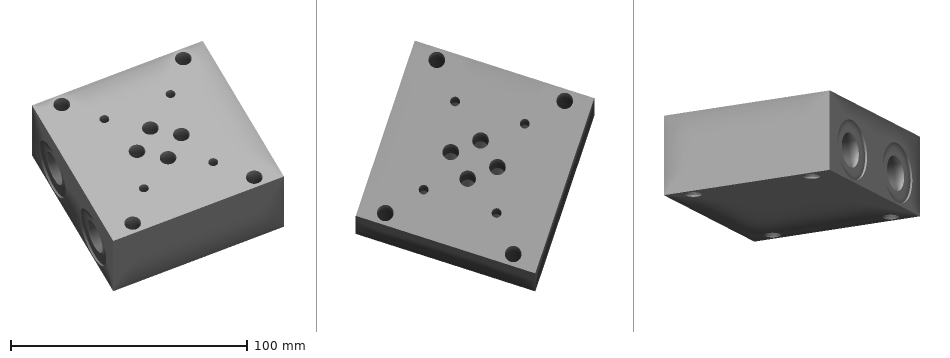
import cadquery as cq
import math

LENGTH = 80.0
WIDTH = 80.0
HEIGHT = 35.0

DRILL_POINT_ANGLE = 118.0

MOUNT_DIAMETER = 7.0
MOUNT_X = 35.0
MOUNT_Y = 28.5

BOLT_DIAMETER = 4.2
BOLT_DEPTH = 11.2
BOLT_X = 20.2
BOLT_LEFT_Y = 15.5
BOLT_RIGHT_Y = 16.2

VALVE_PORT_DIAMETER = 7.0
VALVE_PORT_DEPTH = 17.6
LEFT_PORT_X = -7.5
RIGHT_PORT_X = 9.9
MIDDLE_PORT_X = (LEFT_PORT_X + RIGHT_PORT_X) / 2
MIDDLE_PORT_Y = 10.4

SIDE_PORT_DIAMETER = 15.0
SIDE_PORT_DEPTH = 24.0
SIDE_PORT_X = 20.0
SIDE_PORT_Z = 14.0
SPOTFACE_DIAMETER = 26.0
SPOTFACE_DEPTH = 1.0


def drill(diameter, depth):
    """Drill-shaped cutter entering at the origin along -Z; depth excludes the conical point."""
    radius = diameter / 2
    point_height = radius / math.tan(math.radians(DRILL_POINT_ANGLE / 2))
    profile = (
        cq.Workplane("XZ")
        .lineTo(radius, 0)
        .lineTo(radius, -depth)
        .lineTo(0, -depth - point_height)
        .close()
    )
    return profile.revolve(360, (0, 0), (0, 1))


def side_port():
    """Spotfaced blind bore entering the -Y face, with its mouth at the origin."""
    spotface = cq.Workplane("XY").circle(SPOTFACE_DIAMETER / 2).extrude(-SPOTFACE_DEPTH)
    cutter = drill(SIDE_PORT_DIAMETER, SIDE_PORT_DEPTH).union(spotface)
    return cutter.rotate((0, 0, 0), (1, 0, 0), 90)


result = cq.Workplane("XY").box(LENGTH, WIDTH, HEIGHT, centered=(True, True, False))

result = (
    result.faces(">Z")
    .workplane()
    .rect(2 * MOUNT_X, 2 * MOUNT_Y, forConstruction=True)
    .vertices()
    .hole(MOUNT_DIAMETER)
)

bolt_points = [
    (-BOLT_X, -BOLT_LEFT_Y),
    (-BOLT_X, BOLT_LEFT_Y),
    (BOLT_X, -BOLT_RIGHT_Y),
    (BOLT_X, BOLT_RIGHT_Y),
]
for x, y in bolt_points:
    result = result.cut(drill(BOLT_DIAMETER, BOLT_DEPTH).translate((x, y, HEIGHT)))

valve_port_points = [
    (LEFT_PORT_X, 0),
    (RIGHT_PORT_X, 0),
    (MIDDLE_PORT_X, -MIDDLE_PORT_Y),
    (MIDDLE_PORT_X, MIDDLE_PORT_Y),
]
for x, y in valve_port_points:
    result = result.cut(drill(VALVE_PORT_DIAMETER, VALVE_PORT_DEPTH).translate((x, y, HEIGHT)))

for x in (-SIDE_PORT_X, SIDE_PORT_X):
    result = result.cut(side_port().translate((x, -WIDTH / 2, SIDE_PORT_Z)))